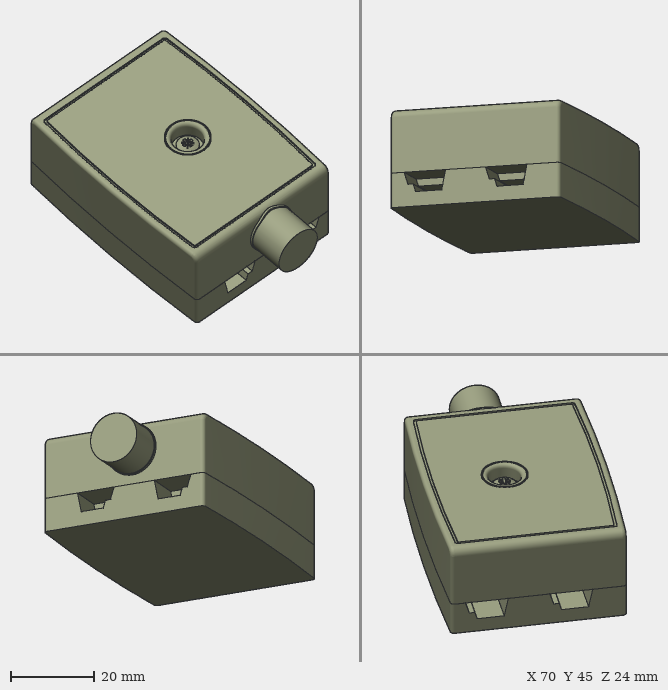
import cadquery as cq
import math


CASE_LENGTH = 60.0
END_WIDTH = 43.0
MIDDLE_WIDTH = 44.95
CASE_HEIGHT = 24.0
BASE_HEIGHT = 8.5
END_ROUND = 1.95
SIDE_ROUND = 1.0

LABEL_THICKNESS = 0.4
RECESS_END_MARGIN = 2.8
RECESS_SIDE_MARGIN = 1.75
RECESS_CORNER = 0.7
LABEL_GAP = 0.6
LABEL_CORNER = 0.35
LABEL_HOLE_DIAMETER = 11.3

SCREW_Y = 2.6
COLLAR_DIAMETER = 10.65
WELL_DIAMETER = 8.0
WELL_DEPTH = 3.85
WELL_ROUND = 1.0
HEAD_DIAMETER = 5.6
HEAD_RIM_HEIGHT = 1.1
HEAD_HEIGHT = 2.0
SHANK_DIAMETER = 3.0
SHANK_TIP_Z = 2.1
DRIVE_LENGTH = 3.35
DRIVE_FLOOR_LENGTH = 0.85
DRIVE_WIDTH = 0.7
DRIVE_DEPTH = 1.1
TICK_LENGTH = 3.1
TICK_WIDTH = 0.2
TICK_DEPTH = 0.5

CABLE_DIAMETER = 12.4
CABLE_Y = 2.25
CABLE_Z = 17.15
CABLE_END_X = 70 - CASE_LENGTH / 2
CABLE_SOCKET_DEPTH = 7.0
LIP_DIAMETER = 12.8
LIP_PROJECTION = 0.6

CHANNEL_PITCH = 20.65
CHANNEL_LEFT_Y = 18.0
CHANNEL_WIDTH = 10.5
CHANNEL_FLOOR_Z = 3.6
STEP_Z = 5.45
STEP_WIDTH = 1.3
LEFT_SLOPE = 0.32
RIGHT_SLOPE = 0.2
CHANNEL_NARROWING = 0.7
PAD_BOTTOM_Z = 6.7
PAD_LENGTH = 42.0
PIN_OFFSETS = (4.0, 7.55)
PIN_DIAMETER = 0.8
PIN_LENGTH = 1.75

CHANNEL_LEFTS = [CHANNEL_LEFT_Y - i * CHANNEL_PITCH for i in range(2)]
WELL_FLOOR_Z = CASE_HEIGHT - WELL_DEPTH
RECESS_FLOOR_Z = CASE_HEIGHT - LABEL_THICKNESS


def bowed_prism(end_margin, side_margin, bottom_z, top_z):
    """Prism on the case outline moved inward: straight ends, long sides bowed outward."""
    x = CASE_LENGTH / 2 - end_margin
    y_end = END_WIDTH / 2 - side_margin
    y_middle = MIDDLE_WIDTH / 2 - side_margin
    return (
        cq.Workplane("XY", origin=(0, 0, bottom_z))
        .moveTo(-x, -y_end)
        .threePointArc((0, -y_middle), (x, -y_end))
        .lineTo(x, y_end)
        .threePointArc((0, y_middle), (-x, y_end))
        .close()
        .extrude(top_z - bottom_z)
    )


def upright_cylinder(diameter, bottom_z, top_z):
    """Cylinder on the screw axis."""
    return (
        cq.Workplane("XY", origin=(0, SCREW_Y, bottom_z))
        .circle(diameter / 2)
        .extrude(top_z - bottom_z)
    )


def cable_cylinder(diameter, start_x, end_x):
    """Cylinder on the axis of the round cable."""
    return (
        cq.Workplane("YZ", origin=(start_x, CABLE_Y, CABLE_Z))
        .circle(diameter / 2)
        .extrude(end_x - start_x)
    )


def channel_section(left_y, narrowing):
    """Corner points (Y, Z) of a stepped flat-cable channel, open at the top of the base."""
    step_y = left_y - LEFT_SLOPE * (BASE_HEIGHT - STEP_Z)
    floor_left_y = step_y - STEP_WIDTH - LEFT_SLOPE * (STEP_Z - CHANNEL_FLOOR_Z)
    right_y = left_y - CHANNEL_WIDTH + narrowing
    floor_right_y = right_y + RIGHT_SLOPE * (BASE_HEIGHT - CHANNEL_FLOOR_Z)
    return [
        (left_y, BASE_HEIGHT),
        (step_y, STEP_Z),
        (step_y - STEP_WIDTH, STEP_Z),
        (floor_left_y, CHANNEL_FLOOR_Z),
        (floor_right_y, CHANNEL_FLOOR_Z),
        (right_y, BASE_HEIGHT),
    ]


def channel(left_y):
    """Space of one channel, running the whole length of the case and narrowing toward +X."""
    return (
        cq.Workplane("YZ", origin=(-CASE_LENGTH / 2, 0, 0))
        .polyline(channel_section(left_y, 0)).close()
        .workplane(offset=CASE_LENGTH)
        .polyline(channel_section(left_y, CHANNEL_NARROWING)).close()
        .loft(ruled=True, combine=True)
    )


def pressing_pad(left_y):
    """Pad that fills the top of one channel, away from its two mouths."""
    pad_height = BASE_HEIGHT - PAD_BOTTOM_Z
    blank = cq.Workplane("XY").box(PAD_LENGTH, MIDDLE_WIDTH, pad_height, centered=(True, True, False))
    return channel(left_y).intersect(blank.translate((0, 0, PAD_BOTTOM_Z)))


def contact_pin(y):
    """Pointed pin that hangs from a pressing pad."""
    root = cq.Vector(0, y, PAD_BOTTOM_Z)
    cone = cq.Solid.makeCone(PIN_DIAMETER / 2, 0, PIN_LENGTH, root, cq.Vector(0, 0, -1))
    return cq.Workplane(cone)


def make_base():
    """Lower half of the case, with the two channels and the screw hole."""
    base = bowed_prism(0, 0, 0, BASE_HEIGHT).edges("|Z").fillet(SIDE_ROUND)
    for left_y in CHANNEL_LEFTS:
        base = base.cut(channel(left_y))
    return base.cut(upright_cylinder(SHANK_DIAMETER, SHANK_TIP_Z, BASE_HEIGHT))


def cover_shell():
    """Outer shape of the cover, before anything is cut into it."""
    shell = bowed_prism(0, 0, BASE_HEIGHT, CASE_HEIGHT)
    shell = shell.faces(">Z").edges("|Y").fillet(END_ROUND)
    return shell.faces(">Y or <Y").edges("not <Z").fillet(SIDE_ROUND)


def cable_lip(shell):
    """Thin lip around the cable that repeats the rounded end of the cover further out."""
    lip = cable_cylinder(LIP_DIAMETER, CASE_LENGTH / 2 - CABLE_SOCKET_DEPTH, CABLE_END_X)
    return lip.intersect(shell.translate((LIP_PROJECTION, 0, 0)))


def label_recess():
    """Space for the label, leaving the collar round the screw well standing."""
    recess = bowed_prism(RECESS_END_MARGIN, RECESS_SIDE_MARGIN, RECESS_FLOOR_Z, CASE_HEIGHT)
    recess = recess.edges("|Z").fillet(RECESS_CORNER)
    return recess.cut(upright_cylinder(COLLAR_DIAMETER, RECESS_FLOOR_Z, CASE_HEIGHT))


def screw_well():
    """Well for the screw head, flaring out to a rounded mouth at the top of the cover."""
    radius = WELL_DIAMETER / 2
    mouth_z = CASE_HEIGHT - WELL_ROUND
    bend = WELL_ROUND * (1 - math.sqrt(0.5))
    return (
        cq.Workplane("XZ", origin=(0, SCREW_Y, 0))
        .moveTo(0, WELL_FLOOR_Z)
        .lineTo(radius, WELL_FLOOR_Z)
        .lineTo(radius, mouth_z)
        .threePointArc((radius + bend, CASE_HEIGHT - bend), (radius + WELL_ROUND, CASE_HEIGHT))
        .lineTo(0, CASE_HEIGHT)
        .close()
        .revolve(360, (0, 0), (0, 1))
    )


def make_cover():
    """Upper half of the case, with the cable lip, the pressing pads and the pins."""
    shell = cover_shell()
    cover = shell.union(cable_lip(shell))
    cover = cover.cut(label_recess())
    cover = cover.cut(screw_well())
    cover = cover.cut(upright_cylinder(SHANK_DIAMETER, BASE_HEIGHT, WELL_FLOOR_Z))
    cover = cover.cut(make_cable())
    for left_y in CHANNEL_LEFTS:
        cover = cover.union(pressing_pad(left_y))
        for offset in PIN_OFFSETS:
            cover = cover.union(contact_pin(left_y - offset))
    return cover


def make_label():
    """Plate that lies flush in the cover, with a gap all round."""
    label = bowed_prism(
        RECESS_END_MARGIN + LABEL_GAP, RECESS_SIDE_MARGIN + LABEL_GAP, RECESS_FLOOR_Z, CASE_HEIGHT
    )
    label = label.edges("|Z").fillet(LABEL_CORNER)
    return label.cut(upright_cylinder(LABEL_HOLE_DIAMETER, RECESS_FLOOR_Z, CASE_HEIGHT))


def head_slot(top_length, floor_length, width, depth, angle):
    """Slot across the screw head with sloping ends, turned about the screw axis."""
    top_z = WELL_FLOOR_Z + HEAD_HEIGHT
    slot = (
        cq.Workplane("XZ", origin=(0, SCREW_Y, 0))
        .moveTo(-top_length / 2, top_z)
        .lineTo(top_length / 2, top_z)
        .lineTo(floor_length / 2, top_z - depth)
        .lineTo(-floor_length / 2, top_z - depth)
        .close()
        .extrude(width / 2, both=True)
    )
    return slot.rotate((0, SCREW_Y, 0), (0, SCREW_Y, 1), angle)


def make_screw():
    """Screw with a domed head and a cross drive."""
    rim = HEAD_DIAMETER / 2
    rim_z = WELL_FLOOR_Z + HEAD_RIM_HEIGHT
    top_z = WELL_FLOOR_Z + HEAD_HEIGHT
    rise = HEAD_HEIGHT - HEAD_RIM_HEIGHT
    dome_radius = (rim ** 2 + rise ** 2) / (2 * rise)
    half_angle = math.asin(rim / dome_radius) / 2
    dome_middle = (
        dome_radius * math.sin(half_angle),
        top_z - dome_radius * (1 - math.cos(half_angle)),
    )
    head = (
        cq.Workplane("XZ", origin=(0, SCREW_Y, 0))
        .moveTo(0, WELL_FLOOR_Z)
        .lineTo(rim, WELL_FLOOR_Z)
        .lineTo(rim, rim_z)
        .threePointArc(dome_middle, (0, top_z))
        .close()
        .revolve(360, (0, 0), (0, 1))
    )
    screw = head.union(upright_cylinder(SHANK_DIAMETER, SHANK_TIP_Z, WELL_FLOOR_Z))
    for angle in (0, 90):
        screw = screw.cut(head_slot(DRIVE_LENGTH, DRIVE_FLOOR_LENGTH, DRIVE_WIDTH, DRIVE_DEPTH, angle))
    for angle in (45, 135):
        screw = screw.cut(head_slot(TICK_LENGTH, TICK_LENGTH, TICK_WIDTH, TICK_DEPTH, angle))
    return screw


def make_cable():
    """Round cable seated in the +X end of the cover."""
    return cable_cylinder(CABLE_DIAMETER, CASE_LENGTH / 2 - CABLE_SOCKET_DEPTH, CABLE_END_X)


base = make_base()
cover = make_cover()
label = make_label()
screw = make_screw()
cable = make_cable()

bodies = [base, cover, label, screw, cable]
result = cq.Compound.makeCompound([body.solids().val() for body in bodies])